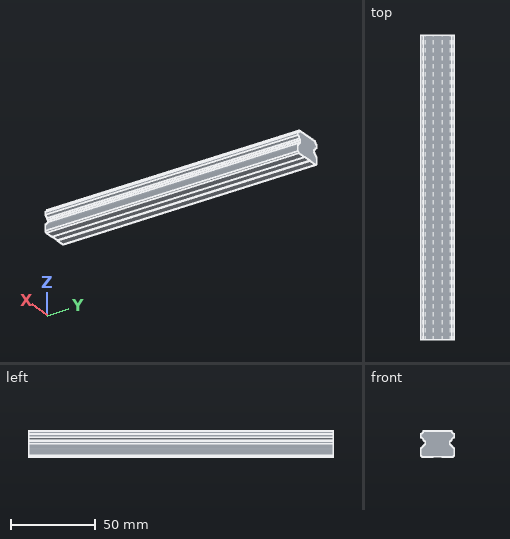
import cadquery as cq

rail_width = 20.0
rail_length = 180.0
rail_height = 15.5
half_width = rail_width / 2

crown_half_width = 8.5
crown_wall_height = 0.35
shoulder_height = 13.85
shoulder_chamfer = 0.2
crown_arc_sag = 0.35

track_top = 11.65
track_arc_half_width = 8.4
track_arc_bottom = 10.1
track_arc_sag = 0.33

neck_half_width = 7.3
neck_top = 9.3
neck_bottom = 7.95
upper_ledge_half_width = track_arc_half_width - (track_arc_bottom - neck_top)
lower_ledge_half_width = 7.55
lower_ledge_height = 7.5

foot_top = lower_ledge_height - (half_width - lower_ledge_half_width)
foot_round_radius = 1.5
foot_chamfer = 1.0

relief_width = 5.8
relief_depth = 0.25

plug_diameter = 9.5
plug_depth = 1.0
plug_pitch = 60.0
plug_count = 3


def bulged_point(start, end, sag):
    """Point on an arc from start to end, offset by sag to the right of that direction."""
    dx = end[0] - start[0]
    dz = end[1] - start[1]
    chord = (dx**2 + dz**2) ** 0.5
    return ((start[0] + end[0]) / 2 + sag * dz / chord, (start[1] + end[1]) / 2 - sag * dx / chord)


def make_half_rail():
    """The +X half of the rail, extruded along Y and centred on the origin."""
    crown_edge = (crown_half_width, rail_height - crown_wall_height)
    shoulder_edge = (half_width - shoulder_chamfer, shoulder_height)
    track_edge = (half_width, track_top)
    track_arc_end = (track_arc_half_width, track_arc_bottom)
    half = (
        cq.Workplane("XZ")
        .moveTo(0, 0)
        .lineTo(half_width, 0)
        .lineTo(half_width, foot_top)
        .lineTo(lower_ledge_half_width, lower_ledge_height)
        .lineTo(neck_half_width, neck_bottom)
        .lineTo(neck_half_width, neck_top)
        .lineTo(upper_ledge_half_width, neck_top)
        .lineTo(*track_arc_end)
        .threePointArc(bulged_point(track_edge, track_arc_end, track_arc_sag), track_edge)
        .lineTo(half_width, shoulder_height - shoulder_chamfer)
        .lineTo(*shoulder_edge)
        .threePointArc(bulged_point(crown_edge, shoulder_edge, crown_arc_sag), crown_edge)
        .lineTo(crown_half_width, rail_height)
        .lineTo(0, rail_height)
        .close()
        .extrude(rail_length / 2, both=True)
    )
    half = half.edges(cq.NearestToPointSelector((half_width, 0, foot_top))).fillet(foot_round_radius)
    return half.edges(cq.NearestToPointSelector((half_width, 0, 0))).chamfer(foot_chamfer)


def make_rail():
    half = make_half_rail()
    return half.union(half.mirror("YZ")).clean()


def cut_relief(body):
    mouth = relief_width / 2
    floor = mouth - relief_depth
    relief = (
        cq.Workplane("XZ")
        .polyline([(-mouth, 0), (-floor, relief_depth), (floor, relief_depth), (mouth, 0)])
        .close()
        .extrude(rail_length / 2, both=True)
    )
    return body.cut(relief)


def add_plugs(body):
    """Open a seat for each plug and fill it flush, keeping the plug's rim on the top face."""
    plugs = (
        cq.Workplane("XY", origin=(0, 0, rail_height - plug_depth))
        .rarray(1, plug_pitch, 1, plug_count)
        .circle(plug_diameter / 2)
        .extrude(plug_depth)
    )
    return body.cut(plugs).union(plugs, clean=False)


result = add_plugs(cut_relief(make_rail()))